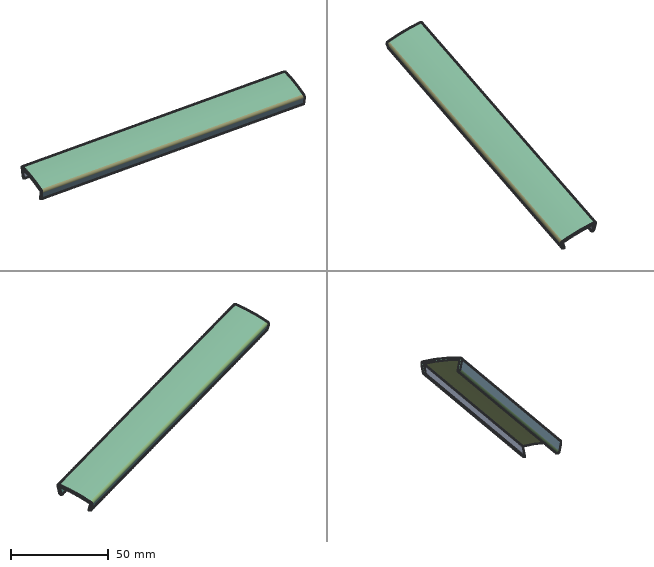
import cadquery as cq
import math

length = 152.4
width = 22.1
height = 7.8
wall = 1.4
crown_rise = 0.69
leg_lean = 11.3

lean = math.radians(leg_lean)
inner_x = width / 2 - wall
inner_crown = height - wall
edge_height = inner_crown - crown_rise
inner_radius = (inner_x**2 + crown_rise**2) / (2 * crown_rise)
roof_slope = math.asin(inner_x / inner_radius)


def offset_by_wall(point, angle):
    """Move a point by one wall thickness at an angle above the +X direction."""
    return (point[0] + wall * math.cos(angle), point[1] + wall * math.sin(angle))


def mirrored(point):
    return (-point[0], point[1])


inner_corner = (inner_x, edge_height)
roof_end = offset_by_wall(inner_corner, math.pi / 2 - roof_slope)
corner_middle = offset_by_wall(inner_corner, (math.pi / 2 - roof_slope - lean) / 2)
leg_top = offset_by_wall(inner_corner, -lean)

tip_center = (inner_x - (edge_height - wall) * math.tan(lean), wall)
leg_bottom = offset_by_wall(tip_center, -lean)
tip_middle = offset_by_wall(tip_center, -(math.pi / 2 + lean) / 2)
tip_flat_start = (tip_center[0], 0)
tip_inner = (inner_x - edge_height * math.tan(lean), 0)

section = (
    cq.Workplane("XZ", origin=(0, length / 2, 0))
    .moveTo(*mirrored(roof_end))
    .threePointArc((0, height), roof_end)
    .threePointArc(corner_middle, leg_top)
    .lineTo(*leg_bottom)
    .threePointArc(tip_middle, tip_flat_start)
    .lineTo(*tip_inner)
    .lineTo(*inner_corner)
    .threePointArc((0, inner_crown), mirrored(inner_corner))
    .lineTo(*mirrored(tip_inner))
    .lineTo(*mirrored(tip_flat_start))
    .threePointArc(mirrored(tip_middle), mirrored(leg_bottom))
    .lineTo(*mirrored(leg_top))
    .threePointArc(mirrored(corner_middle), mirrored(roof_end))
    .close()
)

result = section.extrude(length)